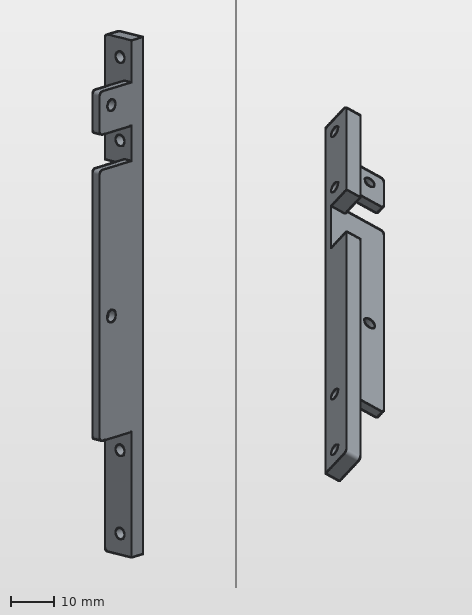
import cadquery as cq

length = 124.2
width = 8.3
depth = 15.0
rail_thickness = 4.0
corner_radius = 1.0

notch_bottom = 79.0
notch_height = 15.0

plate_thickness = 2.2
flange_bottom = 30.2
flange_height = 65.1
tab_bottom = 103.7
tab_height = 10.4

rail_hole_diameter = 2.7
rail_hole_x = 4.7
rail_hole_spacing = 20.0
lowest_rail_hole_z = 5.1
highest_rail_hole_z = 119.5
tab_hole_diameter = 2.7
tab_hole_z = 110.1
flange_hole_diameter = 3.0
flange_hole_z = 59.5
plate_hole_from_tip = 4.1

plate_x = width - plate_thickness


def make_rail():
    """Bar with its two outer end corners rounded."""
    bar = cq.Workplane("XY").box(width, rail_thickness, length, centered=False)
    bar = bar.translate((0, -rail_thickness, 0))
    return bar.edges("|Y and <X").fillet(corner_radius)


def make_plate(bottom, height):
    """Plate from the rail's back face to the -Y tip, with rounded tip corners."""
    plate = cq.Workplane("XY").box(plate_thickness, depth, height, centered=False)
    plate = plate.translate((plate_x, -depth, bottom))
    return plate.edges("|X and <Y").fillet(corner_radius)


def make_notch():
    """Block removed from the rail beside the flange plate."""
    block = cq.Workplane("XY").box(plate_x, rail_thickness, notch_height, centered=False)
    return block.translate((0, -rail_thickness, notch_bottom))


def make_rail_holes():
    """Pair of through holes along Y near each end of the rail."""
    heights = (
        lowest_rail_hole_z,
        lowest_rail_hole_z + rail_hole_spacing,
        highest_rail_hole_z - rail_hole_spacing,
        highest_rail_hole_z,
    )
    centers = [(rail_hole_x, z) for z in heights]
    return (
        cq.Workplane("XZ").pushPoints(centers).circle(rail_hole_diameter / 2).extrude(rail_thickness)
    )


def make_plate_hole(z, diameter):
    """Through hole along X, set back from the tip of a plate."""
    hole = cq.Workplane("YZ", origin=(plate_x, 0, 0)).center(plate_hole_from_tip - depth, z)
    return hole.circle(diameter / 2).extrude(plate_thickness)


result = (
    make_rail()
    .cut(make_notch())
    .cut(make_rail_holes())
    .union(make_plate(flange_bottom, flange_height))
    .union(make_plate(tab_bottom, tab_height))
    .cut(make_plate_hole(flange_hole_z, flange_hole_diameter))
    .cut(make_plate_hole(tab_hole_z, tab_hole_diameter))
)